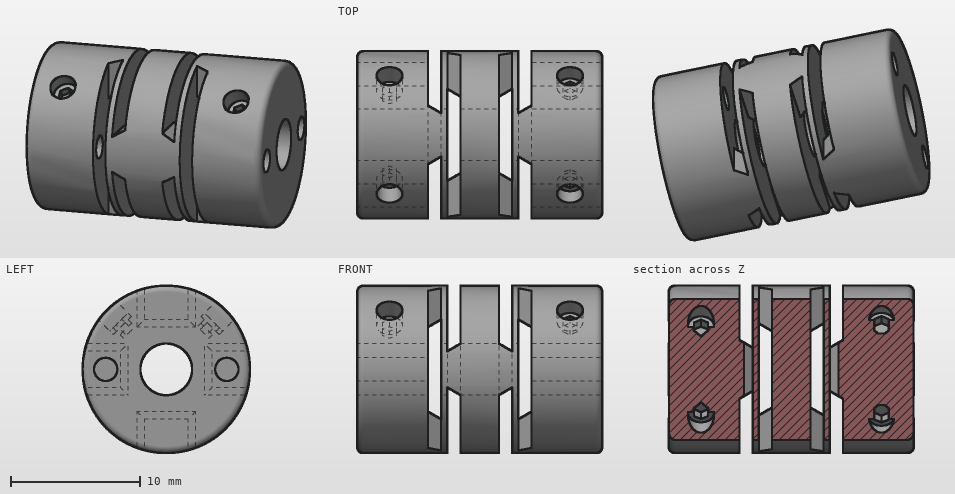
import cadquery as cq
import math

length = 19.0
diameter = 13.0
radius = diameter / 2
edge_round = 0.5
bore_diameter = 3.99

core_width = 3.0
slot_width = 1.0
thin_disc_width = 0.5
inner_slot_start = core_width / 2
outer_slot_start = inner_slot_start + slot_width + thin_disc_width
hub_start = outer_slot_start + slot_width
hub_width = length / 2 - hub_start

web_draft_angle = 30
web_taper = slot_width * math.tan(math.radians(web_draft_angle))
outer_web_half_width = 2.28
outer_window_half_height = 3.27
inner_web_half_width = 2.0
inner_window_half_height = 2.96

pin_hole_diameter = 1.8
pin_hole_offset = 4.7

screw_diameter = 2.0
screw_end_distance = 2.5
screw_angle = 45
left_screw_depth = 1.7
right_screw_depth = 1.31
socket_across_flats = 1.1
socket_depth = 0.76


def make_body():
    body = cq.Workplane("YZ").circle(radius).extrude(length / 2, both=True)
    body = body.faces("<X or >X").edges().fillet(edge_round)
    bore = cq.Workplane("YZ").circle(bore_diameter / 2).extrude(length, both=True)
    return body.cut(bore)


def make_slot(wide_x, narrow_x, web_half_width, window_half_height):
    """Slot that leaves one web at +Z and one at -Z, widest at wide_x."""
    narrow_half_width = web_half_width - web_taper
    tall_half_height = window_half_height + web_taper
    window = (
        cq.Workplane("XZ")
        .polyline([
            (wide_x, -window_half_height),
            (wide_x, window_half_height),
            (narrow_x, tall_half_height),
            (narrow_x, -tall_half_height),
        ])
        .close()
        .extrude(diameter, both=True)
    )
    side = (
        cq.Workplane("XY")
        .polyline([
            (wide_x, web_half_width),
            (wide_x, diameter),
            (narrow_x, diameter),
            (narrow_x, narrow_half_width),
        ])
        .close()
        .extrude(diameter, both=True)
    )
    return window.union(side).union(side.mirror("XZ"))


def make_hub_slot():
    """Slot between the right hub and its thin disc, webs at top and bottom."""
    return make_slot(hub_start, outer_slot_start, outer_web_half_width, outer_window_half_height)


def make_core_slot():
    """Slot between the core and the right thin disc, webs at the +Y and -Y sides."""
    slot = make_slot(
        inner_slot_start,
        inner_slot_start + slot_width,
        inner_web_half_width,
        inner_window_half_height,
    )
    return slot.rotate((0, 0, 0), (1, 0, 0), 90)


def make_pin_holes():
    return (
        cq.Workplane("YZ", origin=(hub_start, 0, 0))
        .pushPoints([(-pin_hole_offset, 0), (pin_hole_offset, 0)])
        .circle(pin_hole_diameter / 2)
        .extrude(hub_width)
    )


def make_screw_hole(x, depth, angle):
    """Radial hole with a hexagon socket in its floor, tilted from +Z about X.

    The hexagon has two corners pointing around the circumference.
    """
    floor = radius - depth
    hole = (
        cq.Workplane("XY", origin=(x, 0, floor))
        .circle(screw_diameter / 2)
        .extrude(2 * depth)
    )
    socket = (
        cq.Workplane("XY", origin=(x, 0, floor - socket_depth))
        .polygon(6, socket_across_flats, circumscribed=True)
        .extrude(2 * socket_depth)
    )
    return hole.union(socket).rotate((0, 0, 0), (1, 0, 0), angle)


result = make_body()

for cutter in (make_hub_slot(), make_core_slot(), make_pin_holes()):
    result = result.cut(cutter).cut(cutter.mirror("YZ"))

screw_x = length / 2 - screw_end_distance
for angle in (-screw_angle, screw_angle):
    result = result.cut(make_screw_hole(-screw_x, left_screw_depth, angle))
    result = result.cut(make_screw_hole(screw_x, right_screw_depth, angle))